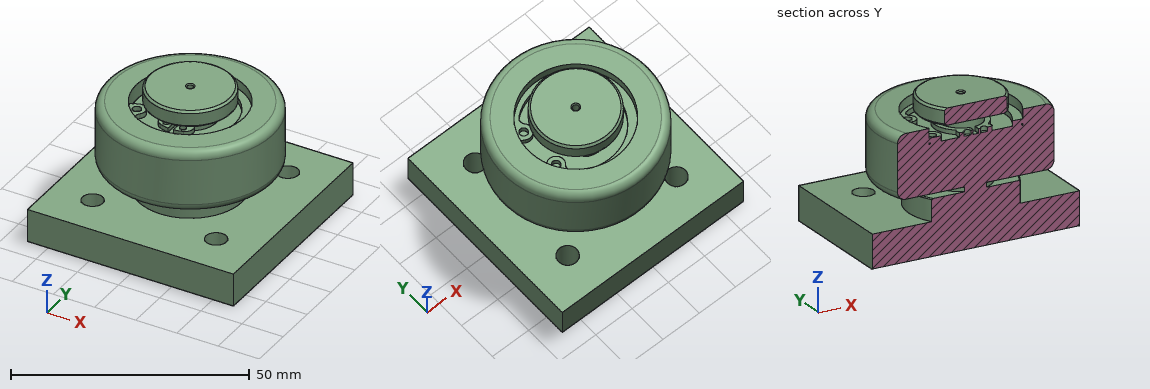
import cadquery as cq
import math

plate_side = 50
plate_thickness = 8
plate_hole_diameter = 4.9
plate_hole_pitch = 30

collar_diameter = 25
collar_height = 5.2
collar_chamfer = 0.25
neck_diameter = 14
shaft_diameter = 10
head_diameter = 20
head_height = 4
head_chamfer = 0.5
total_height = 33
grease_hole_diameter = 1.5
grease_hole_mouth_diameter = 2

roller_diameter = 40
roller_bottom = 14.2
roller_height = 15
roller_fillet = 2
bore_diameter = 26
bearing_edge_chamfer = 0.3
bearing_face_depth = 3.4

bore_ring_outer_diameter = 27.2
bore_ring_thickness = 1.2
bore_ring_inner_diameter = 23
bore_ring_inner_offset = 0.75
bore_lug_radius = 11.2
bore_lug_angle = 28
bore_lug_width = 4
bore_lug_hole_diameter = 2
bore_lug_fillet = 1.5

shaft_ring_outer_diameter = 12.5
shaft_ring_thickness = 1
shaft_ring_gap = 1.25
shaft_lug_tip_diameter = 16.3
shaft_lug_half_angle = 39
shaft_lug_corner_fillet = 2
shaft_lug_hole_diameter = 1.5
shaft_lug_hole_x = 2
shaft_lug_hole_y = -6.45

roller_top = roller_bottom + roller_height
bearing_face = roller_top - bearing_face_depth
head_bottom = total_height - head_height


def disc(diameter, bottom, height):
    return cq.Workplane("XY").workplane(offset=bottom).circle(diameter / 2).extrude(height)


def polar(radius, angle):
    return (radius * math.cos(math.radians(angle)), radius * math.sin(math.radians(angle)))


def sector(opening_direction, half_angle, reach, bottom, height):
    """Triangular wedge that spreads from the axis toward the given direction."""
    points = [(0, 0)] + [polar(reach, opening_direction + side * half_angle) for side in (-1, 1)]
    return cq.Workplane("XY").workplane(offset=bottom).polyline(points).close().extrude(height)


def make_plate():
    plate = cq.Workplane("XY").box(plate_side, plate_side, plate_thickness, centered=(True, True, False))
    return (
        plate.faces(">Z").workplane()
        .rect(plate_hole_pitch, plate_hole_pitch, forConstruction=True)
        .vertices().hole(plate_hole_diameter)
    )


def make_pin():
    collar = disc(collar_diameter, plate_thickness, collar_height).faces(">Z").chamfer(collar_chamfer)
    neck = disc(neck_diameter, plate_thickness, bearing_face - plate_thickness)
    shaft = disc(shaft_diameter, plate_thickness, total_height - plate_thickness)
    head = disc(head_diameter, head_bottom, head_height).edges().chamfer(head_chamfer)
    return collar.union(neck).union(shaft).union(head)


def make_roller():
    roller = disc(roller_diameter, roller_bottom, roller_height).edges().fillet(roller_fillet)
    roller = roller.cut(disc(bore_diameter, bearing_face - bearing_edge_chamfer, roller_height))
    bearing = disc(bore_diameter, roller_bottom + roller_fillet, bearing_face - roller_bottom - roller_fillet)
    return roller.union(bearing.faces(">Z").chamfer(bearing_edge_chamfer))


def make_bore_ring():
    def ring_disc(diameter, x=0, y=0):
        return disc(diameter, bearing_face, bore_ring_thickness).translate((x, y, 0))

    outer_disc = ring_disc(bore_ring_outer_diameter)
    ring = outer_disc.cut(ring_disc(bore_ring_inner_diameter, -bore_ring_inner_offset))

    lug_angles = [180 + side * bore_lug_angle for side in (-1, 1)]
    for angle in lug_angles:
        lug = (
            cq.Workplane("XY").workplane(offset=bearing_face)
            .center(bore_lug_radius + bore_lug_width / 2, 0)
            .slot2D(2 * bore_lug_width, bore_lug_width)
            .extrude(bore_ring_thickness)
        )
        ring = ring.union(lug.rotate((0, 0, 0), (0, 0, 1), angle).intersect(outer_disc))

    apex = -bore_lug_width / 2 / math.sin(math.radians(bore_lug_angle))
    opening = sector(180, bore_lug_angle, plate_side, bearing_face, bore_ring_thickness)
    ring = ring.cut(opening.translate((apex, 0, 0)))

    ring = ring.edges("|Z").edges("<Y or >Y").fillet(bore_lug_fillet)
    for angle in lug_angles:
        ring = ring.cut(ring_disc(bore_lug_hole_diameter, *polar(bore_lug_radius, angle)))
    return ring


def make_shaft_ring():
    body = disc(shaft_ring_outer_diameter, bearing_face, shaft_ring_thickness)
    lugs = disc(shaft_lug_tip_diameter, bearing_face, shaft_ring_thickness).intersect(
        sector(270, shaft_lug_half_angle, plate_side, bearing_face, shaft_ring_thickness)
    )
    lugs = lugs.edges("|Z").edges("<X or >X").fillet(shaft_lug_corner_fillet)
    gap = (
        cq.Workplane("XY").workplane(offset=bearing_face)
        .center(0, -shaft_lug_tip_diameter / 2)
        .rect(shaft_ring_gap, shaft_lug_tip_diameter)
        .extrude(shaft_ring_thickness)
    )
    holes = (
        cq.Workplane("XY").workplane(offset=bearing_face)
        .pushPoints([(side * shaft_lug_hole_x, shaft_lug_hole_y) for side in (-1, 1)])
        .circle(shaft_lug_hole_diameter / 2)
        .extrude(shaft_ring_thickness)
    )
    return body.union(lugs).cut(gap).cut(holes)


def make_grease_hole():
    mouth_depth = (grease_hole_mouth_diameter - grease_hole_diameter) / 2
    mouth = (
        cq.Workplane("XY").workplane(offset=total_height)
        .circle(grease_hole_mouth_diameter / 2)
        .workplane(offset=-mouth_depth)
        .circle(grease_hole_diameter / 2)
        .loft()
    )
    return disc(grease_hole_diameter, 0, total_height).union(mouth)


result = (
    make_plate()
    .union(make_pin())
    .union(make_roller())
    .union(make_bore_ring())
    .union(make_shaft_ring())
    .cut(make_grease_hole())
)